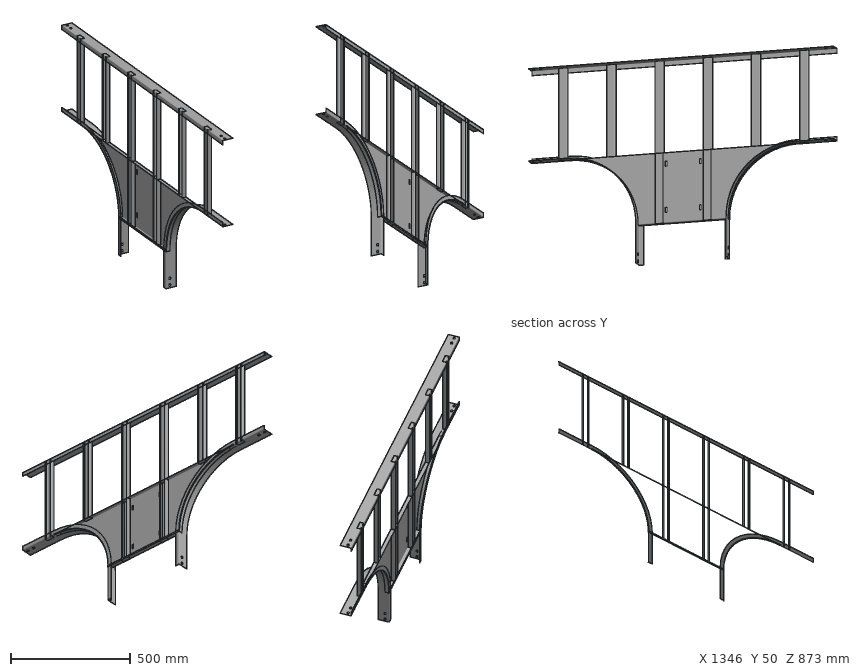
import cadquery as cq
import math

length = 1346.0
tray_width = 400.0
bend_radius = 300.0
rail_depth = 50.0
flange_width = 20.0
sheet = 1.5
bend_inner = 1.0

rung_pitch = 213.0
rung_count = 6
rung_width = 39.0
rung_depth = 17.0
lip_width = 10.0

plate_drop = 3.4
plate_return = 8.0
plate_slot_x = 75.0
plate_slot_rise = 54.0
plate_slot_spacing = 199.0
plate_slot_length = 20.0
plate_slot_width = 7.0

bolt_slot_insets = (13.0, 45.0)
bolt_slot_length = 11.0
bolt_slot_width = 8.0
bolt_slot_y = 19.0

half_length = length / 2
half_width = tray_width / 2
bend_x = half_width + bend_radius
straight = half_length - bend_x
bend_z = straight
main_z = bend_z + bend_radius
top_z = main_z + tray_width
bend_outer = bend_inner + sheet
rung_back = sheet + rung_depth
plate_bottom = bend_z - plate_drop
plate_top = main_z + sheet


def box(x0, x1, y0, y1, z0, z1):
    """Box between two opposite corners."""
    return cq.Workplane("XY").box(x1 - x0, y1 - y0, z1 - z0, centered=False).translate((x0, y0, z0))


def angle_section(section_plane):
    """Closed L section with a rounded fold: web along local +X, flange along local +Y."""
    inner_tangent = sheet + bend_inner
    outer_mid = bend_outer * (1 - math.sqrt(0.5))
    inner_mid = inner_tangent - bend_inner * math.sqrt(0.5)
    return (
        cq.Workplane(section_plane)
        .moveTo(rail_depth, 0)
        .lineTo(bend_outer, 0)
        .threePointArc((outer_mid, outer_mid), (0, bend_outer))
        .lineTo(0, flange_width)
        .lineTo(sheet, flange_width)
        .lineTo(sheet, inner_tangent)
        .threePointArc((inner_mid, inner_mid), (inner_tangent, sheet))
        .lineTo(rail_depth, sheet)
        .close()
    )


def top_rail():
    """Straight L-section rail with its flange pointing down."""
    section_plane = cq.Plane(origin=(-half_length, 0, top_z), xDir=(0, 1, 0), normal=(-1, 0, 0))
    return angle_section(section_plane).extrude(-length)


def bent_rail():
    """Left L-section rail: run with its flange up, quarter bend, leg with its flange inward."""
    run_plane = cq.Plane(origin=(-half_length, 0, main_z), xDir=(0, 1, 0), normal=(1, 0, 0))
    bend_plane = cq.Plane(origin=(-bend_x, 0, main_z), xDir=(0, 1, 0), normal=(1, 0, 0))
    leg_plane = cq.Plane(origin=(-half_width, 0, bend_z), xDir=(0, 1, 0), normal=(0, 0, -1))
    run = angle_section(run_plane).extrude(straight)
    curve = angle_section(bend_plane).revolve(90, (0, -bend_radius, 0), (1, -bend_radius, 0))
    leg = angle_section(leg_plane).extrude(straight)
    return run.union(curve).union(leg)


def rung(x, bottom):
    """Lipped channel with rounded folds, from a lower level up to the web of the top rail."""
    opening = rung_width - 2 * lip_width
    top = top_z - sheet
    height = top - bottom
    centre_y = sheet + rung_depth / 2
    base = cq.Workplane("XY", origin=(x, centre_y, bottom))
    body = base.rect(rung_width, rung_depth).extrude(height).edges("|Z").fillet(bend_outer)
    cavity = (
        base.rect(rung_width - 2 * sheet, rung_depth - 2 * sheet)
        .extrude(height)
        .edges("|Z")
        .fillet(bend_inner)
    )
    mouth = box(x - opening / 2, x + opening / 2, 0, centre_y, bottom, top)
    return body.cut(cavity).cut(mouth)


def rung_bottom(x):
    """Level on which a rung at this place stands."""
    if abs(x) < half_width:
        return plate_bottom
    return main_z


def plate():
    """Branch plate behind the rungs, with forward lips along its top and bottom.

    The lower lip ends in an upturned edge, and the sides follow the outer web face of the bends.
    """
    sides = (-bend_x, bend_x)
    plate_back = rung_back + sheet
    body = (
        box(*sides, sheet, plate_back, plate_bottom, plate_top)
        .edges("|X and >Y")
        .fillet(bend_outer)
    )
    recess = (
        box(*sides, sheet, rung_back, plate_bottom + sheet, plate_top - sheet)
        .edges("|X and >Y")
        .fillet(bend_inner)
    )
    upturn = box(*sides, sheet, 2 * sheet, plate_bottom, plate_bottom + plate_return)
    body = body.cut(recess).union(upturn)
    for side in (-1, 1):
        bend = (
            cq.Workplane("XZ")
            .center(side * bend_x, bend_z)
            .circle(bend_radius)
            .extrude(-rail_depth)
        )
        below_bend = box(-bend_radius, bend_radius, 0, rail_depth, 0, bend_z)
        body = body.cut(bend).cut(below_bend.translate((side * bend_x, 0, 0)))
    lower_level = bend_z + plate_slot_rise
    slot_levels = (lower_level, lower_level + plate_slot_spacing)
    slot_places = [(side * plate_slot_x, z) for side in (-1, 1) for z in slot_levels]
    slots = (
        cq.Workplane("XZ")
        .pushPoints(slot_places)
        .rect(plate_slot_width, plate_slot_length)
        .extrude(-rail_depth)
    )
    return body.cut(slots)


def run_bolt_slots():
    """Slots through the webs of the top rail and both lower rails, along Z."""
    places = [(side * (half_length - inset), bolt_slot_y) for side in (-1, 1) for inset in bolt_slot_insets]
    return (
        cq.Workplane("XY")
        .pushPoints(places)
        .slot2D(bolt_slot_length, bolt_slot_width)
        .extrude(top_z)
    )


def branch_bolt_slots():
    """Slots through the webs of both branch legs, along X."""
    return (
        cq.Workplane("YZ", origin=(-half_width, 0, 0))
        .pushPoints([(bolt_slot_y, inset) for inset in bolt_slot_insets])
        .slot2D(bolt_slot_length, bolt_slot_width, 90)
        .extrude(tray_width)
    )


left_rail = bent_rail()
result = top_rail().union(left_rail).union(left_rail.mirror("YZ")).union(plate())
for index in range(rung_count):
    rung_x = (index - (rung_count - 1) / 2) * rung_pitch
    result = result.union(rung(rung_x, rung_bottom(rung_x)))
result = result.cut(run_bolt_slots()).cut(branch_bolt_slots())